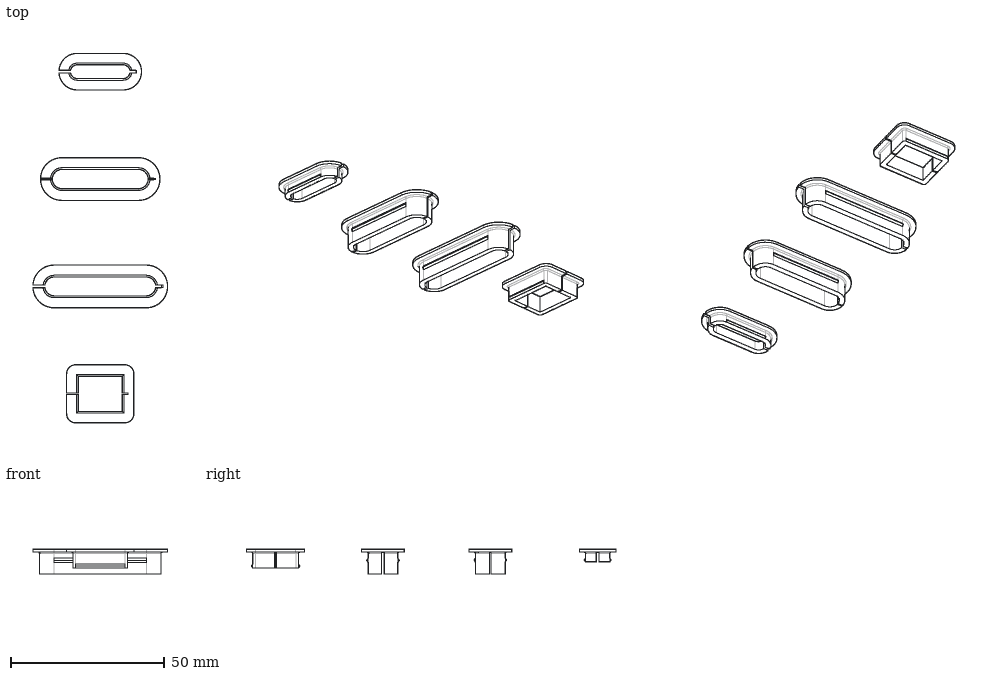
import cadquery as cq
import math

flange_thickness = 1.0
wall_thickness = 1.8
mouth_chamfer = 0.6
root_fillet = 0.45
slit_overrun = 0.1
slit_step_depth = 0.5
plane_tolerance = 0.01
pitch = 35.0
row_center_y = 1.85
top_z = 0.0


def rounded_profile(length, width, corner_radius):
    """Rectangle with rounded corners; a radius of half the width gives a slot shape."""
    if corner_radius == 0:
        return cq.Sketch().rect(length, width)
    if math.isclose(2 * corner_radius, width):
        return cq.Sketch().slot(length - width, width)
    return cq.Sketch().rect(length, width).vertices().fillet(corner_radius)


def prism(length, width, corner_radius, bottom, top):
    """Upright block with the rounded profile."""
    profile = rounded_profile(length, width, corner_radius)
    return cq.Workplane("XY", origin=(0, 0, bottom)).placeSketch(profile).extrude(top - bottom)


def mouth_bevel(opening_length, opening_width, opening_radius):
    """Cutter that narrows downward at 45 degrees to meet the opening."""
    profile = rounded_profile(
        opening_length + 2 * mouth_chamfer,
        opening_width + 2 * mouth_chamfer,
        opening_radius + mouth_chamfer if opening_radius > 0 else 0,
    )
    top_plane = cq.Workplane("XY", origin=(0, 0, top_z))
    return top_plane.placeSketch(profile).extrude(-mouth_chamfer, taper=45)


def snap_rib(length, sleeve_width, depth, protrusion, half_height, side):
    """Triangular retaining rib along one long outer face; side is +1 or -1 in Y."""
    face_y = side * sleeve_width / 2
    apex_y = face_y + side * protrusion
    root_y = face_y - side * wall_thickness / 2
    rib_z = top_z - depth
    return (
        cq.Workplane("YZ", origin=(-length / 2, 0, 0))
        .moveTo(root_y, rib_z - half_height)
        .lineTo(face_y, rib_z - half_height)
        .lineTo(apex_y, rib_z)
        .lineTo(face_y, rib_z + half_height)
        .lineTo(root_y, rib_z + half_height)
        .close()
        .extrude(length)
    )


def slit_cutter(flange_length, sleeve_length, slit_width, step_length, height):
    """Slit that opens the -X end and stops inside the flange at the +X end, with an optional step."""
    start_x = -flange_length / 2 - slit_overrun
    end_x = sleeve_length / 2 + slit_overrun
    bottom_z = top_z - height
    through_slit = cq.Workplane("XY", origin=(start_x, 0, bottom_z)).box(
        end_x - start_x, slit_width, height, centered=(False, True, False)
    )
    if step_length == 0:
        return through_slit
    end_step = cq.Workplane("XY", origin=(end_x, 0, top_z - slit_step_depth)).box(
        step_length, slit_width, slit_step_depth, centered=(False, True, False)
    )
    return through_slit.union(end_step)


def grommet(
    flange_length, flange_width, flange_radius,
    sleeve_length, sleeve_width, sleeve_radius, opening_radius,
    height, rib_length, rib_depth, rib_protrusion, rib_half_height,
    slit_width, slit_step_length, center_y,
):
    """Flanged sleeve with a bevelled opening, two snap ribs and a slit, centered at center_y."""
    bottom_z = top_z - height
    flange_bottom_z = top_z - flange_thickness
    sleeve = prism(sleeve_length, sleeve_width, sleeve_radius, bottom_z, flange_bottom_z)
    flange = prism(flange_length, flange_width, flange_radius, flange_bottom_z, top_z)
    body = sleeve.union(flange)

    underside = body.faces(cq.selectors.BoxSelector(
        (-flange_length, -flange_width, flange_bottom_z - plane_tolerance),
        (flange_length, flange_width, flange_bottom_z + plane_tolerance),
    )).val()
    root_edges = underside.innerWires()[0].Edges()
    body = body.newObject(root_edges).fillet(root_fillet)

    opening_length = sleeve_length - 2 * wall_thickness
    opening_width = sleeve_width - 2 * wall_thickness
    body = body.cut(prism(opening_length, opening_width, opening_radius, bottom_z, top_z))
    body = body.cut(mouth_bevel(opening_length, opening_width, opening_radius))

    for side in (-1, 1):
        body = body.union(
            snap_rib(rib_length, sleeve_width, rib_depth, rib_protrusion, rib_half_height, side)
        )
    body = body.cut(slit_cutter(flange_length, sleeve_length, slit_width, slit_step_length, height))
    return body.translate((0, center_y, 0))


def slot_grommet(straight, flange_width, sleeve_width, **features):
    """Grommet with semicircular ends around a common straight length."""
    return grommet(
        flange_length=straight + flange_width,
        flange_width=flange_width,
        flange_radius=flange_width / 2,
        sleeve_length=straight + sleeve_width,
        sleeve_width=sleeve_width,
        sleeve_radius=sleeve_width / 2,
        opening_radius=sleeve_width / 2 - wall_thickness,
        rib_length=straight,
        **features,
    )


small_slot_grommet = slot_grommet(
    straight=15.0, flange_width=12.0, sleeve_width=8.0, height=4.2,
    rib_depth=3.6, rib_protrusion=0.4, rib_half_height=0.55,
    slit_width=0.8, slit_step_length=0.3,
    center_y=row_center_y + 1.5 * pitch,
)
medium_slot_grommet = slot_grommet(
    straight=25.0, flange_width=14.0, sleeve_width=9.8, height=8.2,
    rib_depth=3.6, rib_protrusion=0.4, rib_half_height=0.7,
    slit_width=0.4, slit_step_length=0.5,
    center_y=row_center_y + 0.5 * pitch,
)
long_slot_grommet = slot_grommet(
    straight=30.0, flange_width=14.0, sleeve_width=9.7, height=8.2,
    rib_depth=3.7, rib_protrusion=0.5, rib_half_height=0.7,
    slit_width=0.8, slit_step_length=0.5,
    center_y=row_center_y - 0.5 * pitch,
)
rect_grommet = grommet(
    flange_length=22.0, flange_width=19.0, flange_radius=3.0,
    sleeve_length=17.8, sleeve_width=15.0, sleeve_radius=0.9, opening_radius=0.0,
    height=6.2,
    rib_length=16.2, rib_depth=5.55, rib_protrusion=0.4, rib_half_height=0.6,
    slit_width=0.4, slit_step_length=0.0,
    center_y=row_center_y - 1.5 * pitch,
)

result = cq.Compound.makeCompound([
    small_slot_grommet.val(),
    medium_slot_grommet.val(),
    long_slot_grommet.val(),
    rect_grommet.val(),
])